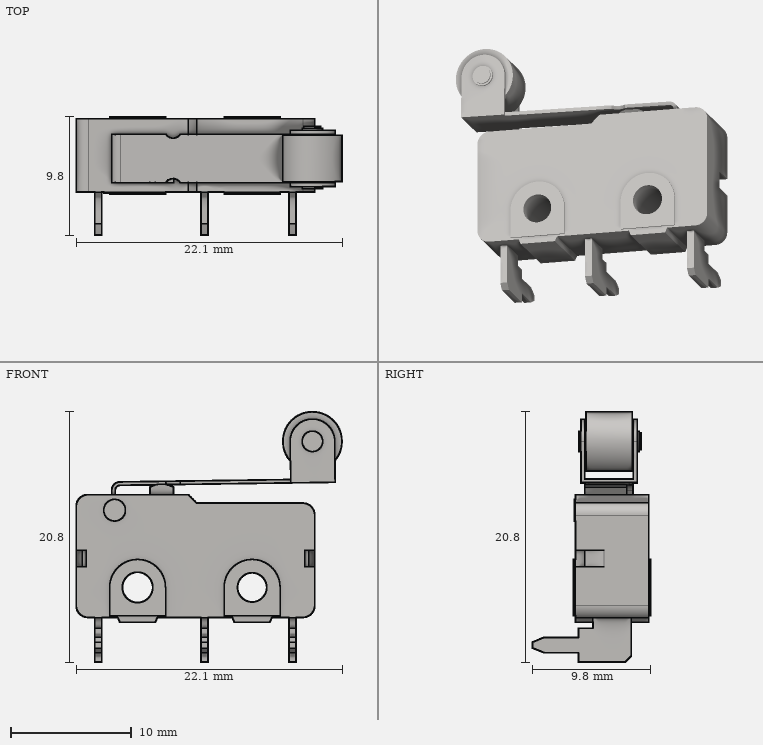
import cadquery as cq
import math


CASE_LENGTH = 19.8
CASE_WIDTH = 6.1
CASE_HEIGHT = 10.2
CASE_LOW_HEIGHT = 9.5
STEP_START_X = 9.3
CORNER_RADIUS = 1.0
HALF_CASE = CASE_WIDTH / 2

HOLE_Z = 2.5
HOLE_PITCH = 9.5
LEFT_HOLE_X = 5.1
RIGHT_HOLE_X = LEFT_HOLE_X + HOLE_PITCH
LEFT_HOLE_DIAMETER = 2.5
RIGHT_HOLE_DIAMETER = 2.4
PAD_RADIUS = 2.32
PAD_BOTTOM_Z = 0.16
PAD_RAISE = 0.15
TAB_TOP_LENGTH = 3.3
TAB_BOTTOM_LENGTH = 2.95
TAB_DROP = 0.4

DISC_DIAMETER = 1.8
DISC_RAISE = 0.1
DISC_X = 3.2
DISC_Z = 8.9

NOTCH_BOTTOM_Z = 4.2
NOTCH_HEIGHT = 1.4
NOTCH_DEPTH = 0.85
RAMP_DEPTH = 0.5
RAMP_START_Y = -0.7
RAMP_END_Y = -2.25

TERMINAL_POSITIONS_X = (1.85, 10.65, 17.95)
TERMINAL_THICKNESS = 0.6
TERMINAL_DROP = 3.7
TERMINAL_HALF_WIDTH = 1.6
TERMINAL_CHAMFER = 0.5
SHOULDER_Y = -2.8
SHOULDER_Z = -0.88
BLADE_CENTRE_Z = -2.28
BLADE_HEIGHT = 1.28
BLADE_TAPER_Y = -5.65
BLADE_TIP_Y = -6.6
BLADE_TIP_HEIGHT = 0.5

PLUNGER_X = 7.1
PLUNGER_LENGTH = 1.97
PLUNGER_FRONT_Y = -2.27
PLUNGER_BACK_Y = 1.2
PLUNGER_SIDE_TOP_Z = 10.82
PLUNGER_PEAK_Z = 11.07

ROLLER_X = 19.6
ROLLER_Z = 14.61
ROLLER_DIAMETER = 4.92
ROLLER_WIDTH = 3.85
PIN_DIAMETER = 1.7
PIN_END_DIAMETER = 1.4
PIN_PROTRUSION = 0.17
PIN_END_LENGTH = 0.15

LEVER_TILT = 0.8
SHEET = 0.3
FORK_SHEET = 0.34
FORK_WIDTH = 3.7
LEVER_WIDTH = 4.0
LEVER_Y = -0.25
ARM_BELOW_ROLLER = 3.13
FOOT_TO_ROLLER = 16.70
FOOT_LENGTH = 1.5
LEVER_BEND_RADIUS = 0.7
NOTCH_TO_ROLLER = 11.6
LEVER_NOTCH_RADIUS = 0.7
LEVER_NOTCH_DEPTH = 0.32
LEVER_BACK_Y = LEVER_Y + LEVER_WIDTH / 2
LEVER_FRONT_Y = LEVER_Y - LEVER_WIDTH / 2
FORK_FRONT_Y = LEVER_FRONT_Y - FORK_SHEET
FORK_BACK_Y = LEVER_BACK_Y + FORK_SHEET


def extrude_along_y(sketch, start_y, end_y):
    """Extrude a closed XZ outline from start_y towards +Y to end_y."""
    return sketch.extrude(start_y - end_y).translate((0, start_y, 0))


def cylinder_along_y(x, z, diameter, start_y, end_y):
    circle = cq.Workplane("XZ").center(x, z).circle(diameter / 2)
    return extrude_along_y(circle, start_y, end_y)


def make_case():
    step = CASE_HEIGHT - CASE_LOW_HEIGHT
    outline = cq.Workplane("XZ").polyline([
        (0, 0),
        (CASE_LENGTH, 0),
        (CASE_LENGTH, CASE_LOW_HEIGHT),
        (STEP_START_X + step, CASE_LOW_HEIGHT),
        (STEP_START_X, CASE_HEIGHT),
        (0, CASE_HEIGHT),
    ]).close()
    case = extrude_along_y(outline, -HALF_CASE, HALF_CASE)
    return case.edges("|Y and (<X or >X)").fillet(CORNER_RADIUS)


def make_pad(x):
    """Raised arch-shaped pads on both faces, made as one slab through the case."""
    outline = (
        cq.Workplane("XZ")
        .moveTo(x - PAD_RADIUS, PAD_BOTTOM_Z)
        .lineTo(x + PAD_RADIUS, PAD_BOTTOM_Z)
        .lineTo(x + PAD_RADIUS, HOLE_Z)
        .threePointArc((x, HOLE_Z + PAD_RADIUS), (x - PAD_RADIUS, HOLE_Z))
        .close()
    )
    face_y = HALF_CASE + PAD_RAISE
    return extrude_along_y(outline, -face_y, face_y)


def make_tab(x):
    outline = cq.Workplane("XZ").polyline([
        (x - TAB_TOP_LENGTH / 2, 0),
        (x - TAB_BOTTOM_LENGTH / 2, -TAB_DROP),
        (x + TAB_BOTTOM_LENGTH / 2, -TAB_DROP),
        (x + TAB_TOP_LENGTH / 2, 0),
    ]).close()
    return extrude_along_y(outline, -HALF_CASE, HALF_CASE)


def make_hole(x, diameter):
    face_y = HALF_CASE + PAD_RAISE
    return cylinder_along_y(x, HOLE_Z, diameter, -face_y, face_y)


def make_left_latch_notch():
    """Ramp sunk into the left end, stepping down to a deeper pocket at the front face."""
    return (
        cq.Workplane("XY")
        .workplane(offset=NOTCH_BOTTOM_Z)
        .polyline([
            (0, RAMP_START_Y),
            (RAMP_DEPTH, RAMP_END_Y),
            (NOTCH_DEPTH, RAMP_END_Y),
            (NOTCH_DEPTH, -HALF_CASE),
            (0, -HALF_CASE),
        ])
        .close()
        .extrude(NOTCH_HEIGHT)
    )


def make_terminal(x):
    """Flat L-shaped terminal whose tapered blade points to the front."""
    blade_top = BLADE_CENTRE_Z + BLADE_HEIGHT / 2
    blade_bottom = BLADE_CENTRE_Z - BLADE_HEIGHT / 2
    tip_top = BLADE_CENTRE_Z + BLADE_TIP_HEIGHT / 2
    tip_bottom = BLADE_CENTRE_Z - BLADE_TIP_HEIGHT / 2
    outline = cq.Workplane("YZ").polyline([
        (TERMINAL_HALF_WIDTH, 0),
        (-TERMINAL_HALF_WIDTH, 0),
        (-TERMINAL_HALF_WIDTH, SHOULDER_Z),
        (SHOULDER_Y, SHOULDER_Z),
        (SHOULDER_Y, blade_top),
        (BLADE_TAPER_Y, blade_top),
        (BLADE_TIP_Y, tip_top),
        (BLADE_TIP_Y, tip_bottom),
        (BLADE_TAPER_Y, blade_bottom),
        (SHOULDER_Y, blade_bottom),
        (SHOULDER_Y, -TERMINAL_DROP),
        (TERMINAL_HALF_WIDTH - TERMINAL_CHAMFER, -TERMINAL_DROP),
        (TERMINAL_HALF_WIDTH, TERMINAL_CHAMFER - TERMINAL_DROP),
    ]).close()
    return outline.extrude(TERMINAL_THICKNESS / 2, both=True).translate((x, 0, 0))


def make_plunger():
    """Button with a gently domed top that presses against the underside of the lever."""
    left = PLUNGER_X - PLUNGER_LENGTH / 2
    right = PLUNGER_X + PLUNGER_LENGTH / 2
    outline = (
        cq.Workplane("XZ")
        .moveTo(left, CASE_LOW_HEIGHT)
        .lineTo(right, CASE_LOW_HEIGHT)
        .lineTo(right, PLUNGER_SIDE_TOP_Z)
        .threePointArc((PLUNGER_X, PLUNGER_PEAK_Z), (left, PLUNGER_SIDE_TOP_Z))
        .close()
    )
    return extrude_along_y(outline, PLUNGER_FRONT_Y, PLUNGER_BACK_Y)


def make_lever_strip():
    """Bent strip with a downward foot and two side notches, untilted, roller axis at X = Z = 0."""
    top = -ARM_BELOW_ROLLER
    bottom = top - SHEET
    foot_end = top - FOOT_LENGTH
    outer_radius = LEVER_BEND_RADIUS
    inner_radius = LEVER_BEND_RADIUS - SHEET
    bend_x = outer_radius - FOOT_TO_ROLLER
    bend_z = top - outer_radius
    outer_mid = outer_radius * math.sqrt(0.5)
    inner_mid = inner_radius * math.sqrt(0.5)
    outline = (
        cq.Workplane("XZ")
        .moveTo(bend_x - outer_radius, foot_end)
        .lineTo(bend_x - outer_radius, bend_z)
        .threePointArc((bend_x - outer_mid, bend_z + outer_mid), (bend_x, top))
        .lineTo(FORK_WIDTH / 2, top)
        .lineTo(FORK_WIDTH / 2, bottom)
        .lineTo(bend_x, bottom)
        .threePointArc((bend_x - inner_mid, bend_z + inner_mid), (bend_x - inner_radius, bend_z))
        .lineTo(bend_x - inner_radius, foot_end)
        .close()
    )
    strip = extrude_along_y(outline, LEVER_FRONT_Y, LEVER_BACK_Y)
    notch_offset = LEVER_WIDTH / 2 + LEVER_NOTCH_RADIUS - LEVER_NOTCH_DEPTH
    for y in (LEVER_Y - notch_offset, LEVER_Y + notch_offset):
        notch = (
            cq.Workplane("XY")
            .workplane(offset=bottom)
            .center(-NOTCH_TO_ROLLER, y)
            .circle(LEVER_NOTCH_RADIUS)
            .extrude(SHEET)
        )
        strip = strip.cut(notch)
    return strip


def make_fork_leg(start_y, end_y):
    """Round-topped leg beside the roller, flush with the underside of the strip."""
    radius = FORK_WIDTH / 2
    drop = ARM_BELOW_ROLLER + SHEET
    outline = (
        cq.Workplane("XZ")
        .moveTo(-radius, -drop)
        .lineTo(radius, -drop)
        .lineTo(radius, 0)
        .threePointArc((0, radius), (-radius, 0))
        .close()
    )
    return extrude_along_y(outline, start_y, end_y)


def make_lever():
    lever = make_lever_strip()
    lever = lever.union(make_fork_leg(FORK_FRONT_Y, LEVER_FRONT_Y))
    lever = lever.union(make_fork_leg(LEVER_BACK_Y, FORK_BACK_Y))
    lever = lever.rotate((0, 0, 0), (0, 1, 0), -LEVER_TILT)
    return lever.translate((ROLLER_X, 0, ROLLER_Z))


def make_roller_and_pin():
    half_width = ROLLER_WIDTH / 2
    pin_front = FORK_FRONT_Y - PIN_PROTRUSION
    pin_back = FORK_BACK_Y + PIN_PROTRUSION
    roller = cylinder_along_y(
        ROLLER_X, ROLLER_Z, ROLLER_DIAMETER, LEVER_Y - half_width, LEVER_Y + half_width
    )
    pin = cylinder_along_y(ROLLER_X, ROLLER_Z, PIN_DIAMETER, pin_front, pin_back)
    pin_end = cylinder_along_y(
        ROLLER_X, ROLLER_Z, PIN_END_DIAMETER, pin_back, pin_back + PIN_END_LENGTH
    )
    return roller.union(pin).union(pin_end)


body = make_case()
for hole_x in (LEFT_HOLE_X, RIGHT_HOLE_X):
    body = body.union(make_pad(hole_x)).union(make_tab(hole_x))
disc = cylinder_along_y(DISC_X, DISC_Z, DISC_DIAMETER, -HALF_CASE - DISC_RAISE, -HALF_CASE)
body = body.union(disc)
body = body.cut(make_hole(LEFT_HOLE_X, LEFT_HOLE_DIAMETER))
body = body.cut(make_hole(RIGHT_HOLE_X, RIGHT_HOLE_DIAMETER))
left_notch = make_left_latch_notch()
right_notch = left_notch.mirror("YZ").translate((CASE_LENGTH, 0, 0))
body = body.cut(left_notch).cut(right_notch)

for terminal_x in TERMINAL_POSITIONS_X:
    body = body.union(make_terminal(terminal_x))

body = body.union(make_plunger()).union(make_lever())
result = body.union(make_roller_and_pin())